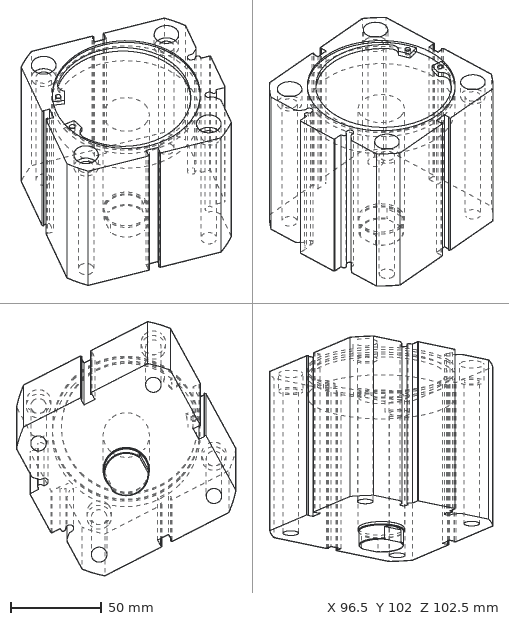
import cadquery as cq
import math

body_width = 96.5
half_width = body_width / 2
body_height = 92.5
corner_turning_radius = 62.0

rail_half_width = 12.75
rail_height = 5.5
rail_corner_chamfer = 0.4
lug_half_width = 15.0
lug_top_drop = 0.3
lug_side_length = 2.0
lug_underside_rise = 1.4
groove_width = 4.0
groove_center_x = 15.1
groove_center_y = 43.2
groove_inner_x = groove_center_x - groove_width / 2
groove_outer_x = groove_center_x + groove_width / 2
groove_mouth_chamfer = 3.5
groove_mouth_rounding = 2.5
lug_rounding = 1.2

slot_depth = 4.5
slot_width = 6.8
slot_mouth_width = 5.5
slot_mouth_chamfer = 0.6
slot_lip = 1.0

hole_pitch = 72.0
hole_diameter = 8.6
counterbore_diameter = 13.6
counterbore_depth = 10.0

bore_radius = 41.0
ring_recess = 1.3
ring_thickness = 2.8
ring_top = body_height - ring_recess
cover_top = ring_top - ring_thickness
cover_thickness = 12.0
cover_bottom = cover_top - cover_thickness

ring_opening_radius = 37.6
ring_opening_offset = 1.9
ear_root_x = 21.8
ear_valley = (18.6, -33.4)
ear_tip = (14.7, -31.1)
ear_gap_corner = (8.1, -33.3)
ear_gap_base_x = 9.3
ear_hole_x = 12.1
ear_hole_y = -35.8
ear_hole_diameter = 3.0

rod_diameter = 25.6
rod_neck_diameter = 24.8
rod_extension = 10.0
rod_collar_length = 1.4
rod_collar_chamfer = (rod_diameter - rod_neck_diameter) / 2
rod_end_chamfer = 0.4
flat_spacing = 22.2
flat_start = 2.7
shoulder_angle = 30.0


def groove_cutter():
    """Round-bottomed groove on the +X side of the rail, with a rounded, chamfered mouth."""
    rail_top = half_width + rail_height
    lug_top = half_width - lug_top_drop
    lug_bottom = lug_top - lug_side_length
    groove = (
        cq.Workplane("XY")
        .moveTo(groove_inner_x, groove_center_y)
        .threePointArc(
            (groove_center_x, groove_center_y - groove_width / 2),
            (groove_outer_x, groove_center_y),
        )
        .lineTo(groove_outer_x, half_width - groove_mouth_chamfer)
        .lineTo(groove_outer_x + groove_mouth_chamfer, half_width)
        .lineTo(half_width, half_width)
        .lineTo(half_width, rail_top)
        .lineTo(rail_half_width, rail_top)
        .lineTo(rail_half_width, half_width)
        .lineTo(lug_half_width, lug_top)
        .lineTo(lug_half_width, lug_bottom)
        .lineTo(groove_inner_x, lug_bottom - lug_underside_rise)
        .close()
        .extrude(body_height)
    )
    margin = 1.0
    mouth_corners = cq.selectors.BoxSelector(
        (groove_outer_x - margin, half_width - groove_mouth_chamfer - margin, 0),
        (groove_outer_x + groove_mouth_chamfer + margin, half_width + margin, body_height),
    )
    lug_corners = cq.selectors.BoxSelector(
        (lug_half_width - margin, lug_bottom - margin, 0),
        (lug_half_width + margin, lug_top + margin, body_height),
    )
    groove = groove.edges("|Z").edges(mouth_corners).fillet(groove_mouth_rounding)
    return groove.edges("|Z").edges(lug_corners).fillet(lug_rounding)


def slot_cutter():
    """Sensor slot in the +X face, narrowed by a chamfered lip at its mouth."""
    floor_x = half_width - slot_depth
    lip_x = half_width - slot_lip
    half_slot = slot_width / 2
    half_mouth = slot_mouth_width / 2
    return (
        cq.Workplane("XY")
        .moveTo(floor_x, 0)
        .lineTo(floor_x, half_slot)
        .lineTo(lip_x, half_slot)
        .lineTo(lip_x, half_mouth)
        .lineTo(half_width - slot_mouth_chamfer, half_mouth)
        .lineTo(half_width, half_mouth + slot_mouth_chamfer)
        .lineTo(half_width, 0)
        .close()
        .extrude(body_height)
        .mirror("XZ", union=True)
    )


def make_housing():
    block = cq.Workplane("XY").rect(body_width, body_width).extrude(body_height)
    turned = cq.Workplane("XY").circle(corner_turning_radius).extrude(body_height)
    housing = block.intersect(turned)

    rail = (
        cq.Workplane("XY")
        .box(body_width, rail_height, body_height, centered=(True, False, False))
        .translate((0, half_width, 0))
    )
    groove = groove_cutter()
    housing = housing.union(rail).cut(groove).cut(groove.mirror("YZ"))
    housing = housing.edges("|Z and >Y").chamfer(rail_corner_chamfer)

    slot = slot_cutter()
    for angle in (0, 180, 270):
        housing = housing.cut(slot.rotate((0, 0, 0), (0, 0, 1), angle))

    housing = (
        housing.faces(">Z")
        .workplane(origin=(0, 0, body_height))
        .rect(hole_pitch, hole_pitch, forConstruction=True)
        .vertices()
        .cboreHole(hole_diameter, counterbore_diameter, counterbore_depth)
    )
    cover_bore = (
        cq.Workplane("XY", origin=(0, 0, cover_bottom))
        .circle(bore_radius)
        .extrude(body_height - cover_bottom)
    )
    rod_bore = cq.Workplane("XY").circle(rod_diameter / 2).extrude(cover_bottom)
    return housing.cut(cover_bore).cut(rod_bore)


def make_end_cover():
    return cq.Workplane("XY", origin=(0, 0, cover_bottom)).circle(bore_radius).extrude(cover_thickness)


def make_retaining_ring():
    """Ring filling the bore, open between two ears at the -Y side."""
    opening_top = ring_opening_radius - ring_opening_offset
    ear_root_y = -ring_opening_offset - math.sqrt(ring_opening_radius**2 - ear_root_x**2)
    gap_base_y = -math.sqrt(bore_radius**2 - ear_gap_base_x**2)
    ring = (
        cq.Workplane("XY", origin=(0, 0, cover_top))
        .moveTo(ear_gap_base_x, gap_base_y)
        .threePointArc((0, bore_radius), (-ear_gap_base_x, gap_base_y))
        .lineTo(-ear_gap_corner[0], ear_gap_corner[1])
        .lineTo(-ear_tip[0], ear_tip[1])
        .threePointArc((-ear_valley[0], ear_valley[1]), (-ear_root_x, ear_root_y))
        .threePointArc((0, opening_top), (ear_root_x, ear_root_y))
        .threePointArc(ear_valley, ear_tip)
        .lineTo(*ear_gap_corner)
        .close()
        .extrude(ring_thickness)
    )
    ear_holes = (
        cq.Workplane("XY", origin=(0, 0, cover_top))
        .pushPoints([(-ear_hole_x, ear_hole_y), (ear_hole_x, ear_hole_y)])
        .circle(ear_hole_diameter / 2)
        .extrude(ring_thickness)
    )
    return ring.cut(ear_holes)


def make_piston_rod():
    """Rod reaching up to the end cover, with two wrench flats on its exposed neck."""
    collar = (
        cq.Workplane("XY", origin=(0, 0, -rod_collar_length - rod_collar_chamfer))
        .circle(rod_diameter / 2)
        .extrude(cover_bottom + rod_collar_length + rod_collar_chamfer)
        .faces("<Z")
        .chamfer(rod_collar_chamfer)
    )
    neck = (
        cq.Workplane("XY", origin=(0, 0, -rod_extension))
        .circle(rod_neck_diameter / 2)
        .extrude(rod_extension)
        .faces("<Z")
        .chamfer(rod_end_chamfer)
    )
    rod = collar.union(neck)

    flat_y = flat_spacing / 2
    shoulder_y = rod_neck_diameter / 2
    shoulder_rise = (shoulder_y - flat_y) * math.tan(math.radians(shoulder_angle))
    flat_cutter = (
        cq.Workplane("YZ", origin=(-rod_diameter / 2, 0, 0))
        .moveTo(flat_y, -rod_extension)
        .lineTo(flat_y, -flat_start)
        .lineTo(shoulder_y, -flat_start + shoulder_rise)
        .lineTo(shoulder_y, -rod_extension)
        .close()
        .extrude(rod_diameter)
    )
    return rod.cut(flat_cutter).cut(flat_cutter.mirror("XZ"))


housing = make_housing()
end_cover = make_end_cover()
retaining_ring = make_retaining_ring()
piston_rod = make_piston_rod()

result = cq.Compound.makeCompound(
    [housing.val(), end_cover.val(), retaining_ring.val(), piston_rod.val()]
)